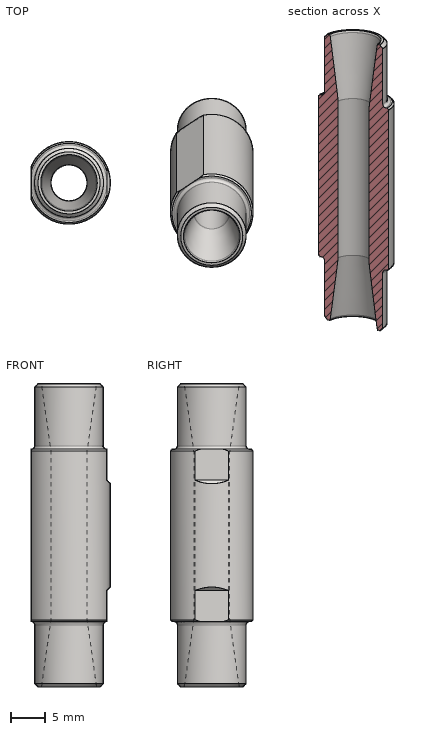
import cadquery as cq
import math

total_length = 44.0
half_length = total_length / 2
body_length = 25.0
body_half = body_length / 2
body_radius = 6.0

spigot_radius = 5.0
spigot_chamfer = 0.5

shoulder_fillet = 0.5
shoulder_radius = spigot_radius + shoulder_fillet
body_chamfer = 0.25

bore_radius = 2.6
mouth_radius = 4.1
lip_rounding = 0.5
mouth_angle = math.radians(45)
seat_half_angle = math.radians(8)

flat_offset = 5.5
short_flat_length = 4.5
ramp_height = body_radius - flat_offset


def turned_half():
    """Upper half of the turned outer shape, with its base at mid length."""
    shoulder_top = body_half + shoulder_fillet
    arc_offset = shoulder_fillet * (1 - math.sqrt(0.5))
    profile = (
        cq.Workplane("XZ")
        .lineTo(body_radius, 0)
        .lineTo(body_radius, body_half - body_chamfer)
        .lineTo(body_radius - body_chamfer, body_half)
        .lineTo(shoulder_radius, body_half)
        .threePointArc(
            (spigot_radius + arc_offset, body_half + arc_offset),
            (spigot_radius, shoulder_top),
        )
        .lineTo(spigot_radius, half_length - spigot_chamfer)
        .lineTo(spigot_radius - spigot_chamfer, half_length)
        .lineTo(0, half_length)
        .close()
    )
    return profile.revolve(360, (0, 0, 0), (0, 1, 0))


def lip_point(angle):
    """Point on the rounded lip where its tangent leans from the Z axis by the given angle."""
    return (
        mouth_radius - lip_rounding * (math.cos(angle) - math.cos(mouth_angle)),
        half_length - lip_rounding * (math.sin(mouth_angle) - math.sin(angle)),
    )


def bore_half():
    """Upper half of the bore: straight hole, conical seat, then a lip tangent to the seat."""
    seat_radius, seat_top = lip_point(seat_half_angle)
    seat_depth = (seat_radius - bore_radius) / math.tan(seat_half_angle)
    lip_middle = lip_point((seat_half_angle + mouth_angle) / 2)
    profile = (
        cq.Workplane("XZ")
        .lineTo(bore_radius, 0)
        .lineTo(bore_radius, seat_top - seat_depth)
        .lineTo(seat_radius, seat_top)
        .threePointArc(lip_middle, (mouth_radius, half_length))
        .lineTo(0, half_length)
        .close()
    )
    return profile.revolve(360, (0, 0, 0), (0, 1, 0))


def long_flat_cutter():
    """Block that leaves a flat along the whole body on the -X side."""
    block = cq.Workplane("XY").box(body_radius, 2 * body_radius, total_length)
    return block.translate((-flat_offset - body_radius / 2, 0, 0))


def short_flat_cutter():
    """Block that leaves a flat at the upper end of the +X side, run out on a 45 degree ramp."""
    overshoot = 2 * ramp_height
    flat_end = body_half - short_flat_length
    return (
        cq.Workplane("XZ")
        .moveTo(flat_offset, half_length)
        .lineTo(flat_offset, flat_end)
        .lineTo(flat_offset + overshoot, flat_end - overshoot)
        .lineTo(flat_offset + overshoot, half_length)
        .close()
        .extrude(body_radius, both=True)
    )


def both_ends(upper):
    """The upper shape together with its mirror image below mid length."""
    return upper.union(upper.mirror("XY"))


result = (
    both_ends(turned_half())
    .cut(long_flat_cutter())
    .cut(short_flat_cutter())
    .cut(short_flat_cutter().mirror("XY"))
    .cut(both_ends(bore_half()))
)